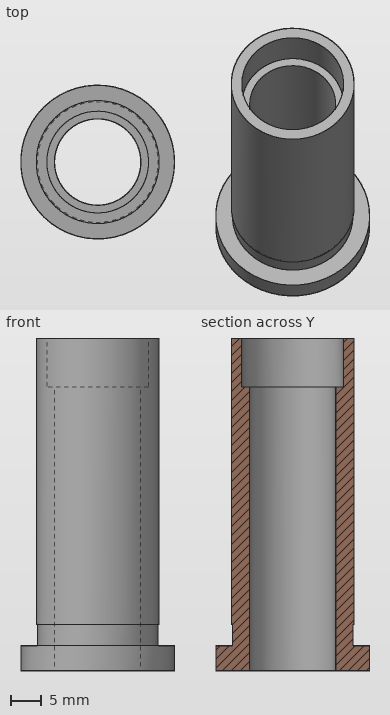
import cadquery as cq

total_length = 54.0
flange_diameter = 25.0
neck_diameter = 19.6
sleeve_diameter = 20.0

flange_height = 4.1
neck_height = 3.45

bore_diameter = 14.0
counterbore_diameter = 16.5
counterbore_depth = 7.9

sleeve_length = total_length - flange_height - neck_height

body = (
    cq.Workplane("XY")
    .circle(flange_diameter / 2)
    .extrude(flange_height)
    .faces(">Z")
    .workplane()
    .circle(neck_diameter / 2)
    .extrude(neck_height)
    .faces(">Z")
    .workplane()
    .circle(sleeve_diameter / 2)
    .extrude(sleeve_length)
)

result = (
    body.faces(">Z")
    .workplane()
    .cboreHole(bore_diameter, counterbore_diameter, counterbore_depth)
)